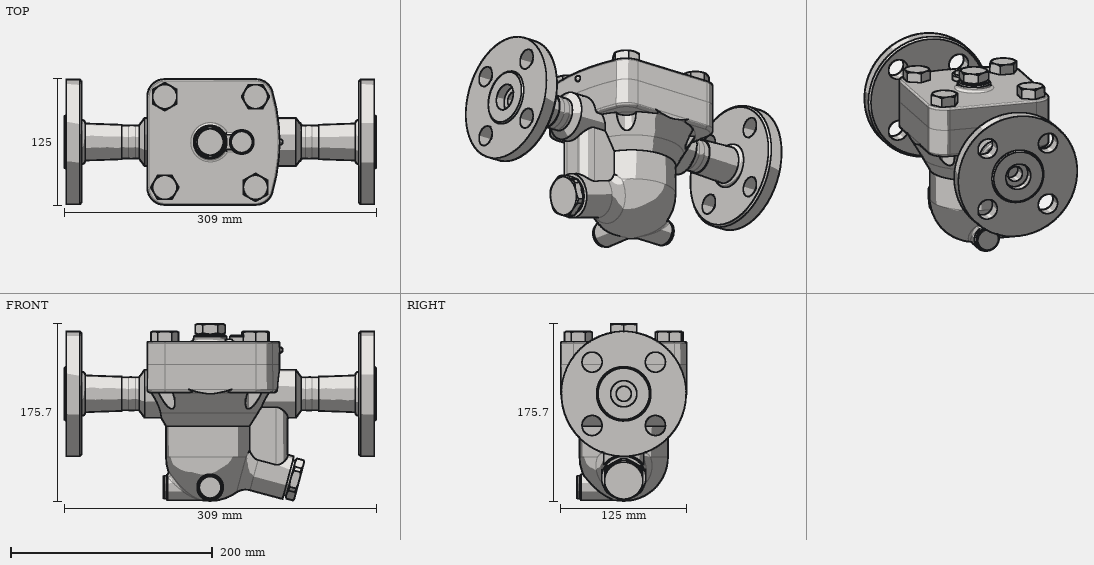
import cadquery as cq
import math


pipe_middle_x = 10.0
face_to_face = 309.0
flange_dia = 124.0
flange_thickness = 15.6
flange_chamfer = 2.0
raised_face_height = 1.6
raised_face_base_dia = 54.0
raised_face_dia = 51.0
flange_hole_dia = 20.0
flange_hole_circle_dia = 88.9
flange_hole_count = 4
flange_hole_start_angle = 45.0
hub_dia = 37.0
hub_end_dia = 34.4
hub_fillet = 3.5
hub_end_distance = 97.5
weld_dia = 33.0
weld_bead_height = 0.3
weld_bead_start = 84.5
weld_bead_end = 91.0
port_dia = 48.0
port_end_distance = 75.0
port_cone_end_distance = 80.5
socket_dia = 26.0
socket_depth = 10.0
bore_dia = 15.0
bore_depth = 25.0

head_width = 125.0
bolt_offset = 45.0
head_corner_radius = head_width / 2 - bolt_offset
head_left_x = -bolt_offset - head_corner_radius
head_right_x = 69.0
head_bottom_right_x = 68.0
head_bottom_z = 1.2
head_split_z = 29.4
head_top_z = 51.8
head_top_fillet = 1.8
head_bottom_fillet = 3.2
spot_cut_dia = 20.0

bolt_across_flats = 24.0
bolt_head_height = 10.1
plug_across_flats = 26.0
plug_bottom_z = 59.2
plug_top_z = 69.3
plug_neck_dia = 24.0
hex_chamfer_angle = 30.0
collar_dia = 33.0
collar_base_dia = 39.0
collar_top_dia = 30.0
collar_top_z = 58.0
small_boss_x = 31.3
small_boss_dia = 24.0
small_boss_base_dia = 31.0
small_boss_top_dia = 21.0
small_boss_top_z = 58.0
boss_fillet_height = 3.0
link_width = 14.0
link_foot_width = 19.5
link_top_z = 54.3
pin_dia = 6.0
pin_tip_x = 72.0
pin_z = 43.4

bowl_radius = 44.0
bowl_bottom_z = -106.4
sphere_center_z = bowl_bottom_z + bowl_radius
cone_bottom_z = -32.0
cone_middle_z = -18.6
cone_middle_radius = 51.5
flare_radius = 63.2
flare_top_radius = 66.0

branch_dia = 44.0
branch_tilt = 15.0
branch_fillet = 16.0
branch_end = 80.2
cap_neck_dia = 36.0
cap_start = 82.8
cap_across_flats = 38.0
cap_corner_dia = 41.5
cap_end = 91.5
web_half_width = 20.0
web_right_x = 76.8
web_corner_radius = 11.7
web_top_z = -10.0

drain_z = -92.7
drain_dia = 26.0
drain_end = 43.5
drain_chamfer = 1.4
drain_fillet = 3.0
drain_plug_dia = 23.0
drain_plug_end = 46.4
drain_plug_chamfer = 0.8


def pipe_half():
    """Port, weld neck and flange on the +X side, along +X from the pipe middle."""
    raised_x = face_to_face / 2
    flange_front_x = raised_x - raised_face_height
    flange_back_x = flange_front_x - flange_thickness
    hub_x = flange_back_x - hub_fillet
    hub_radius = hub_dia / 2
    half = (
        cq.Workplane("XY")
        .moveTo(0, 0)
        .lineTo(0, port_dia / 2)
        .lineTo(port_end_distance, port_dia / 2)
        .lineTo(port_cone_end_distance, weld_dia / 2)
        .lineTo(weld_bead_start, weld_dia / 2)
        .sagittaArc((weld_bead_end, weld_dia / 2), weld_bead_height)
        .lineTo(hub_end_distance, weld_dia / 2)
        .lineTo(hub_end_distance, hub_end_dia / 2)
        .lineTo(hub_x, hub_radius)
        .radiusArc((flange_back_x, hub_radius + hub_fillet), hub_fillet)
        .lineTo(flange_back_x, flange_dia / 2 - flange_chamfer)
        .lineTo(flange_back_x + flange_chamfer, flange_dia / 2)
        .lineTo(flange_front_x, flange_dia / 2)
        .lineTo(flange_front_x, raised_face_base_dia / 2)
        .lineTo(raised_x, raised_face_dia / 2)
        .lineTo(raised_x, 0)
        .close()
        .revolve(360, (0, 0, 0), (1, 0, 0))
    )
    holes = (
        cq.Workplane("YZ", origin=(flange_back_x, 0, 0))
        .polarArray(flange_hole_circle_dia / 2, flange_hole_start_angle, 360, flange_hole_count)
        .circle(flange_hole_dia / 2)
        .extrude(flange_thickness)
    )
    return half.cut(holes)


def pipe_line():
    half = pipe_half()
    return half.union(half.mirror("YZ")).translate((pipe_middle_x, 0, 0))


def pipe_bores():
    """Blind socket and bore in each raised face."""
    bores = cq.Workplane("YZ")
    for side in (-1, 1):
        face_x = pipe_middle_x + side * face_to_face / 2
        face = cq.Workplane("YZ", origin=(face_x, 0, 0))
        bores = bores.add(face.circle(socket_dia / 2).extrude(-side * socket_depth))
        bores = bores.add(face.circle(bore_dia / 2).extrude(-side * bore_depth))
    return bores.combine()


def head_outline(right_x):
    """Square with round corners whose right side bulges as an arc tangent to the corners."""
    rise = right_x - bolt_offset
    r = head_corner_radius
    bulge_radius = (rise**2 + bolt_offset**2 - r**2) / (2 * (rise - r))
    bulge_center_x = right_x - bulge_radius
    bulge_angle = math.atan2(bolt_offset, bolt_offset - bulge_center_x)
    tangent_x = bulge_center_x + bulge_radius * math.cos(bulge_angle)
    tangent_y = bulge_radius * math.sin(bulge_angle)
    half_width = head_width / 2
    return (
        cq.Workplane("XY")
        .moveTo(head_left_x, -bolt_offset)
        .radiusArc((-bolt_offset, -half_width), -r)
        .lineTo(bolt_offset, -half_width)
        .radiusArc((tangent_x, -tangent_y), -r)
        .threePointArc((right_x, 0), (tangent_x, tangent_y))
        .radiusArc((bolt_offset, half_width), -r)
        .lineTo(-bolt_offset, half_width)
        .radiusArc((head_left_x, bolt_offset), -r)
        .close()
    )


def head():
    """Body flange, with its bulge tapering inward to the bottom, and the cover on it."""
    split = head_outline(head_right_x).wire().val().moved(cq.Location(cq.Vector(0, 0, head_split_z)))
    bottom = head_outline(head_bottom_right_x).wire().val().moved(cq.Location(cq.Vector(0, 0, head_bottom_z)))
    lower = cq.Workplane(cq.Solid.makeLoft([bottom, split], True))
    lower = lower.faces("<Z").edges().fillet(head_bottom_fillet)
    cover = head_outline(head_right_x).extrude(head_top_z - head_split_z)
    cover = cover.translate((0, 0, head_split_z))
    cover = cover.faces(">Z").edges().fillet(head_top_fillet)
    return lower.union(cover, clean=False)


def across_corners(across_flats):
    return across_flats / math.cos(math.radians(30))


def hex_head(across_flats, height, corner_dia, both_ends, turn):
    """Hexagon prism on z = 0, turned down to corner_dia, ends chamfered; turn = 0 points along X."""
    prism = cq.Workplane("XY").polygon(6, across_corners(across_flats)).extrude(height)
    drop = (corner_dia - across_flats) / 2 * math.tan(math.radians(hex_chamfer_angle))
    lower_dia = across_flats if both_ends else corner_dia
    crown = cq.Workplane("XZ").lineTo(lower_dia / 2, 0)
    if both_ends:
        crown = crown.lineTo(corner_dia / 2, drop)
    crown = (
        crown.lineTo(corner_dia / 2, height - drop)
        .lineTo(across_flats / 2, height)
        .lineTo(0, height)
        .close()
        .revolve(360, (0, 0, 0), (0, 1, 0))
    )
    return prism.intersect(crown).rotate((0, 0, 0), (0, 0, 1), turn)


def cover_bolts():
    """One bolt head per corner; neighbours are turned a quarter turn from each other."""
    corner_dia = across_corners(bolt_across_flats)
    bolts = []
    for side_x in (-1, 1):
        for side_y in (-1, 1):
            turn = 0 if side_x == side_y else 90
            bolt = hex_head(bolt_across_flats, bolt_head_height, corner_dia, False, turn)
            bolts.append(bolt.translate((side_x * bolt_offset, side_y * bolt_offset, head_top_z)))
    return bolts


def flared_boss(center_x, base_dia, dia, top_dia, top_z):
    """Round boss on the cover with a flared foot and a chamfered top; its seam faces +Y."""
    chamfer = (dia - top_dia) / 2
    return (
        cq.Workplane("XZ")
        .moveTo(0, head_top_z)
        .lineTo(base_dia / 2, head_top_z)
        .radiusArc((dia / 2, head_top_z + boss_fillet_height), boss_fillet_height)
        .lineTo(dia / 2, top_z - chamfer)
        .lineTo(top_dia / 2, top_z)
        .lineTo(0, top_z)
        .close()
        .revolve(360, (0, 0, 0), (0, 1, 0))
        .rotate((0, 0, 0), (0, 0, 1), 90)
        .translate((center_x, 0, 0))
    )


def collar_and_plug():
    """Central collar with the hexagon plug standing on its neck."""
    collar = flared_boss(0, collar_base_dia, collar_dia, collar_top_dia, collar_top_z)
    neck = (
        cq.Workplane("XY", origin=(0, 0, head_top_z))
        .circle(plug_neck_dia / 2)
        .extrude(plug_bottom_z - head_top_z)
    )
    plug_height = plug_top_z - plug_bottom_z
    plug = hex_head(plug_across_flats, plug_height, across_corners(plug_across_flats), True, 0)
    return collar.union(neck).union(plug.translate((0, 0, plug_bottom_z)))


def small_boss():
    """Plain round boss beside the collar, with a straight cylindrical foot ring."""
    chamfer = (small_boss_dia - small_boss_top_dia) / 2
    base = cq.Workplane("XY", origin=(small_boss_x, 0, head_split_z))
    boss = base.circle(small_boss_dia / 2).extrude(small_boss_top_z - head_split_z)
    return boss.faces(">Z").chamfer(chamfer)


def link():
    """Low bridge with flared sides between the collar and the small boss."""
    return (
        cq.Workplane("YZ")
        .moveTo(-link_foot_width / 2, head_top_z)
        .radiusArc((-link_width / 2, link_top_z), -boss_fillet_height)
        .lineTo(link_width / 2, link_top_z)
        .radiusArc((link_foot_width / 2, head_top_z), -boss_fillet_height)
        .close()
        .extrude(small_boss_x - small_boss_dia / 4)
    )


def pin():
    """Round-ended pin on the bulged side of the cover."""
    pin_radius = pin_dia / 2
    return cq.Workplane("XY").sphere(pin_radius).translate((pin_tip_x - pin_radius, 0, pin_z))


def bowl():
    """Round bottom, cylinder and cone, with a flare that ends flush with the head's sides."""
    flare_top_z = head_bottom_z + head_bottom_fillet
    outline = (
        cq.Workplane("XZ")
        .moveTo(0, bowl_bottom_z)
        .radiusArc((bowl_radius, sphere_center_z), -bowl_radius)
        .lineTo(bowl_radius, cone_bottom_z)
        .lineTo(cone_middle_radius, cone_middle_z)
        .lineTo(flare_radius, head_bottom_z)
        .lineTo(flare_top_radius, flare_top_z)
        .lineTo(0, flare_top_z)
        .close()
    )
    solid = outline.revolve(360, (0, 0, 0), (0, 1, 0)).rotate((0, 0, 0), (0, 0, 1), 90)
    envelope = head_outline(head_bottom_right_x).extrude(flare_top_z - bowl_bottom_z)
    return solid.intersect(envelope.translate((0, 0, bowl_bottom_z)))


def spot_cuts():
    """Clearance cut up to the head's underside below each bolt."""
    return (
        cq.Workplane("XY", origin=(0, 0, head_bottom_z))
        .rect(2 * bolt_offset, 2 * bolt_offset, forConstruction=True)
        .vertices()
        .circle(spot_cut_dia / 2)
        .extrude(cone_bottom_z - head_bottom_z)
    )


def on_branch(shape):
    """Move a shape built along +Z from the origin onto the tilted branch axis."""
    tilted = shape.rotate((0, 0, 0), (0, 1, 0), 90 + branch_tilt)
    return tilted.translate((0, 0, sphere_center_z))


def branch():
    """Tube that flares at its root, through an arc tangent to tube and round bottom, into the bowl."""
    tube_radius = branch_dia / 2
    arc_center_reach = bowl_radius + branch_fillet
    arc_center_offset = tube_radius + branch_fillet
    arc_end = math.sqrt(arc_center_reach**2 - arc_center_offset**2)
    root_share = bowl_radius / arc_center_reach
    tube = (
        cq.Workplane("XZ")
        .lineTo(root_share * arc_center_offset, root_share * arc_end)
        .radiusArc((tube_radius, arc_end), branch_fillet)
        .lineTo(tube_radius, branch_end)
        .lineTo(0, branch_end)
        .close()
        .revolve(360, (0, 0, 0), (0, 1, 0))
    )
    return on_branch(tube)


def branch_cap():
    neck = cq.Workplane("XY").circle(cap_neck_dia / 2).extrude(cap_start)
    hexagon = hex_head(cap_across_flats, cap_end - cap_start, cap_corner_dia, True, 0)
    return on_branch(neck.union(hexagon.translate((0, 0, cap_start))))


def web():
    """Upright wall joining bowl, outlet port and strainer branch."""
    bottom_z = sphere_center_z - web_right_x * math.tan(math.radians(branch_tilt))
    return (
        cq.Workplane("XY", origin=(web_right_x / 2, 0, bottom_z))
        .rect(web_right_x, 2 * web_half_width)
        .extrude(web_top_z - bottom_z)
        .edges("|Z and >X")
        .fillet(web_corner_radius)
    )


def lay_drain(shape, turn):
    """Move a shape built along +Z onto a drain axis: turn = 0 faces -X, turn = 90 faces -Y."""
    lying = shape.rotate((0, 0, 0), (0, 1, 0), -90)
    return lying.rotate((0, 0, 0), (0, 0, 1), turn).translate((0, 0, drain_z))


def drain_boss(turn):
    boss = cq.Workplane("XY").circle(drain_dia / 2).extrude(drain_end)
    return lay_drain(boss.faces(">Z").chamfer(drain_chamfer), turn)


def drain_plug(turn):
    plug = cq.Workplane("XY").circle(drain_plug_dia / 2).extrude(drain_plug_end)
    return lay_drain(plug.faces(">Z").chamfer(drain_plug_chamfer), turn)


def casting():
    """Bowl with drain bosses, strainer branch, web and spot cuts."""
    body = bowl().union(drain_boss(0))
    body = body.edges("%BSPLINE").fillet(drain_fillet)
    body = body.union(drain_boss(90)).union(branch()).union(web())
    return body.cut(spot_cuts())


result = casting().union(branch_cap()).union(drain_plug(0)).union(drain_plug(90))
result = result.union(pipe_line()).union(head(), clean=False)
result = result.union(small_boss(), clean=False).union(link(), clean=False)
result = result.union(collar_and_plug(), clean=False).union(pin(), clean=False)
for bolt in cover_bolts():
    result = result.union(bolt, clean=False)
result = result.cut(pipe_bores(), clean=False)